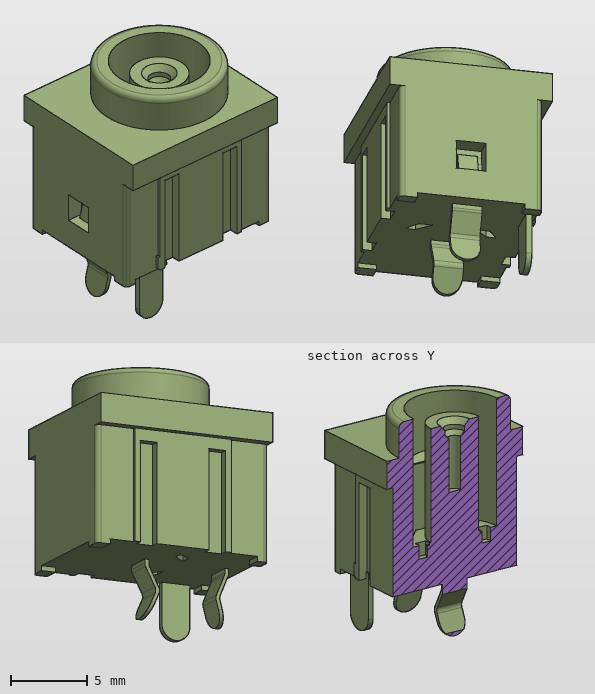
import cadquery as cq

height = 16.0
barrel_height = 2.5
flange_height = 2.0
body_height = 8.0
foot_height = 0.34
flange_top = height - barrel_height
flange_bottom = flange_top - flange_height
foot_bottom = flange_bottom - body_height
body_bottom = foot_bottom + foot_height

flange_width = 11.0
overall_depth = 12.5
front_y = -overall_depth / 2
back_y = overall_depth / 2
body_half_width = 4.82
body_corner_radius = 0.32

front_foot_depth = 0.8
front_foot_width = 1.18
back_foot_depth = 1.0
back_foot_width = 1.28

pad_projection = 0.2
pad_front_y = -3.47
pad_back_y = 3.55
slot_width = 1.2
slot_depth = 0.62
slot_top_gap = 0.8
slot_centers_y = (-2.45, 2.56)
nub_height = 1.07
nub_reach = 0.2
nub_chamfer = 0.18

barrel_y = 0.74
barrel_radius = 4.51
barrel_rim_radius = 0.4
socket_radius = 3.35
socket_depth = 9.0
socket_floor = height - socket_depth
post_radius = 1.95
post_top = height - 1.0
lead_in_radius = 1.17
pin_hole_radius = 0.75
pin_tip_radius = 0.45
lead_in_depth = lead_in_radius - pin_hole_radius
pin_collar_depth = 0.34
pin_tip_cone_depth = 0.32
pin_hole_depth = 4.8

opening_start = 1.42
opening_half_width_at_start = 2.4
opening_half_width_at_contact = 1.45
contact_start = 2.37
contact_edge = 0.16
contact_top = 12.0
contact_slope_drop = 0.35
side_pocket_size = 0.83
side_pocket_center_x = 2.46
side_pocket_depth = 0.96
pocket_rib_width = 0.29
pocket_rib_depth = 0.16
pocket_rib_drop = 0.16

window_size = 2.0
window_bottom = 5.94
window_depth = 1.28
backing_shoulder_bottom = 6.91
backing_shoulder_top = 7.42
backing_thickness = 0.16
tab_width = 1.33
tab_bottom_gap = 0.06
tab_bottom_inset = 0.67
tab_top_inset = 1.02

strip_width = 2.0
strip_thickness = 0.29
strip_embed = 0.48
strip_bend_z = 3.44
strip_elbow_z = 1.82
strip_bend_fillet = 0.48
blade_width = 2.03
blade_thickness = 0.4
blade_center_x = 4.27
blade_center_y = -3.8


def box(x_range, y_range, z_range):
    """Block spanning the given coordinate ranges."""
    size = [end - start for start, end in (x_range, y_range, z_range)]
    corner = (x_range[0], y_range[0], z_range[0])
    return cq.Workplane("XY").box(*size, centered=False).translate(corner)


def barrel_cylinder(radius, bottom, top):
    """Cylinder on the barrel axis between two levels."""
    plane = cq.Workplane("XY", origin=(0, barrel_y, bottom))
    return plane.circle(radius).extrude(top - bottom)


def make_body():
    """Flange, round-cornered body, and the feet left under its corners."""
    flange = box(
        (-flange_width / 2, flange_width / 2),
        (front_y, back_y),
        (flange_bottom, flange_top),
    )
    body = box(
        (-body_half_width, body_half_width),
        (front_y, back_y),
        (foot_bottom, flange_bottom),
    ).edges("|Z").fillet(body_corner_radius)

    foot_levels = (foot_bottom, body_bottom)
    across = box(
        (-flange_width, flange_width),
        (front_y + front_foot_depth, back_y - back_foot_depth),
        foot_levels,
    )
    body = body.cut(across)
    front_half_gap = body_half_width - front_foot_width
    back_half_gap = body_half_width - back_foot_width
    body = body.cut(box((-front_half_gap, front_half_gap), (front_y, 0), foot_levels))
    body = body.cut(box((-back_half_gap, back_half_gap), (0, back_y), foot_levels))
    return flange.union(body)


def make_side_pads():
    """Pad on each side; the slots are cut later, through pad and wall."""
    half_width = body_half_width + pad_projection
    return box(
        (-half_width, half_width),
        (pad_front_y, pad_back_y),
        (body_bottom, flange_bottom),
    )


def make_pad_nub():
    """Nub at the bottom front edge of the +X pad, chamfered underneath."""
    nub = box(
        (body_half_width, body_half_width + pad_projection),
        (pad_front_y - nub_reach, pad_front_y),
        (body_bottom, body_bottom + nub_height),
    )
    return nub.faces("<Y").edges("<Z").chamfer(nub_chamfer)


def make_side_slots():
    """Vertical slots, open at the bottom, in both side pads."""
    outer = body_half_width + pad_projection
    slots = cq.Workplane("XY")
    for center_y in slot_centers_y:
        for side in (-1, 1):
            slot = box(
                (outer - slot_depth, outer),
                (center_y - slot_width / 2, center_y + slot_width / 2),
                (body_bottom, flange_bottom - slot_top_gap),
            )
            slots = slots.add(slot if side > 0 else slot.mirror("YZ"))
    return slots.combine()


def make_barrel():
    """Round barrel with a rounded rim."""
    barrel = barrel_cylinder(barrel_radius, flange_top, height)
    return barrel.faces(">Z").edges().fillet(barrel_rim_radius)


def make_post():
    """Centre post with a conical lead-in and a stepped pin hole."""
    collar_top = post_top - lead_in_depth
    collar_bottom = collar_top - pin_collar_depth
    tip_top = collar_bottom - pin_tip_cone_depth
    hole_bottom = post_top - pin_hole_depth
    hole = (
        cq.Workplane("XZ", origin=(0, barrel_y, 0))
        .polyline([
            (0, post_top),
            (lead_in_radius, post_top),
            (pin_hole_radius, collar_top),
            (pin_hole_radius, collar_bottom),
            (pin_tip_radius, tip_top),
            (pin_tip_radius, hole_bottom),
            (0, hole_bottom),
        ])
        .close()
        .revolve(360, (0, 0, 0), (0, 1, 0))
    )
    return barrel_cylinder(post_radius, socket_floor, post_top).cut(hole)


def make_floor_openings():
    """Through openings beside the post, and square ribbed pockets in the floor."""
    start_y = -opening_start
    end_y = -contact_start
    openings = cq.Workplane("XY")
    for side in (-1, 1):
        opening = (
            cq.Workplane("XY", origin=(0, barrel_y, foot_bottom))
            .polyline([
                (side * opening_half_width_at_start, start_y),
                (side * socket_radius, start_y),
                (side * socket_radius, end_y),
                (side * opening_half_width_at_contact, end_y),
            ])
            .close()
            .extrude(socket_floor - foot_bottom)
        )
        openings = openings.add(
            opening.intersect(barrel_cylinder(socket_radius, foot_bottom, socket_floor))
        )
        pocket = (
            cq.Workplane("XY", origin=(0, barrel_y, socket_floor))
            .center(side * side_pocket_center_x, 0)
            .rect(side_pocket_size, side_pocket_size)
            .extrude(-side_pocket_depth)
        )
        rib_x = side_pocket_center_x - (side_pocket_size - pocket_rib_depth) / 2
        rib = (
            cq.Workplane("XY", origin=(0, barrel_y, socket_floor - pocket_rib_drop))
            .center(side * rib_x, 0)
            .rect(pocket_rib_depth, pocket_rib_width)
            .extrude(pocket_rib_drop - side_pocket_depth)
        )
        pocket = pocket.cut(rib)
        openings = openings.add(pocket)
    return openings.combine()


def make_outer_contact():
    """Contact filling the front of the socket, sloping up towards its wall."""
    contact = (
        cq.Workplane("YZ", origin=(-socket_radius, barrel_y, 0))
        .polyline([
            (-contact_start, socket_floor),
            (-contact_start, contact_top - contact_slope_drop),
            (-contact_start - contact_edge, contact_top - contact_slope_drop),
            (-socket_radius, contact_top),
            (-socket_radius, socket_floor),
        ])
        .close()
        .extrude(2 * socket_radius)
    )
    return contact.intersect(barrel_cylinder(socket_radius, socket_floor, contact_top))


def make_window():
    """Square window with a stepped backing wall and a sloped latch tab inside."""
    window_top = window_bottom + window_size
    back = front_y + window_depth
    backing_front = back - backing_thickness
    window = (
        cq.Workplane("YZ", origin=(-window_size / 2, 0, 0))
        .polyline([
            (front_y, window_bottom),
            (backing_front, window_bottom),
            (backing_front, backing_shoulder_bottom),
            (back, backing_shoulder_top),
            (back, window_top),
            (front_y, window_top),
        ])
        .close()
        .extrude(window_size)
    )
    tab_bottom = window_bottom + tab_bottom_gap
    tab = (
        cq.Workplane("YZ", origin=(-tab_width / 2, 0, 0))
        .polyline([
            (front_y + tab_bottom_inset, tab_bottom),
            (front_y + tab_top_inset, backing_shoulder_top),
            (back, backing_shoulder_top),
            (back, tab_bottom),
        ])
        .close()
        .extrude(tab_width)
    )
    return window.cut(tab)


def make_strip(top_y, elbow_y, tip_y):
    """Bent strip terminal with a round tip, centred on X = 0."""
    half = strip_thickness / 2
    path = [
        (top_y, body_bottom + strip_embed),
        (top_y, strip_bend_z),
        (elbow_y, strip_elbow_z),
        (tip_y, 0),
    ]
    back_edge = [(y + half, z) for y, z in path]
    front_edge = [(y - half, z) for y, z in reversed(path)]
    strip = (
        cq.Workplane("YZ", origin=(-strip_width / 2, 0, 0))
        .polyline(back_edge + front_edge)
        .close()
        .extrude(strip_width)
        .edges("|X and (not >Z) and (not <Z)")
        .fillet(strip_bend_fillet)
    )
    outline = round_tongue("XZ", strip_width, (0, back_y, 0), overall_depth)
    return strip.intersect(outline)


def round_tongue(plane, width, origin, thickness):
    """Tongue hanging from the body, with a full-round tip at Z = 0."""
    radius = width / 2
    top = body_bottom + strip_embed
    return (
        cq.Workplane(plane, origin=origin)
        .moveTo(-radius, top)
        .lineTo(-radius, radius)
        .threePointArc((0, 0), (radius, radius))
        .lineTo(radius, top)
        .close()
        .extrude(thickness)
    )


def make_blade():
    """Flat terminal standing parallel to the side walls."""
    origin = (blade_center_x - blade_thickness / 2, blade_center_y, 0)
    return round_tongue("YZ", blade_width, origin, blade_thickness)


result = make_body().union(make_side_pads()).union(make_pad_nub()).union(make_barrel())
result = result.cut(make_side_slots())
result = result.cut(barrel_cylinder(socket_radius, socket_floor, height))
result = result.cut(make_floor_openings())
result = result.union(make_post()).union(make_outer_contact())
result = result.cut(make_window())
result = result.union(make_strip(top_y=-5.05, elbow_y=-4.38, tip_y=-4.86))
result = result.union(make_strip(top_y=0.77, elbow_y=-0.08, tip_y=0.74))
result = result.union(make_blade())